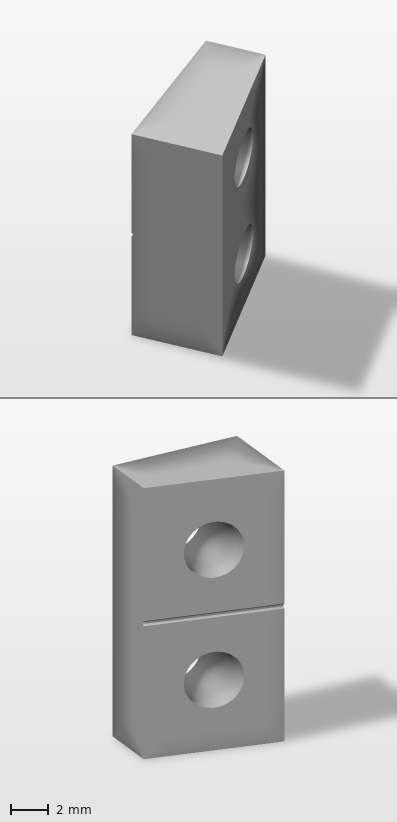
import cadquery as cq

base_width = 5.08
back_width = 3.33
depth = 7.62
height = 15.88

hole_diameter = 3.27
hole_spacing = 7.62

groove_depth = 0.1
groove_floor = groove_depth
groove_width = groove_floor + 2 * groove_depth

right_x = base_width / 2
front_left = (right_x - base_width, -depth / 2)
back_left = (right_x - back_width, depth / 2)


def make_block():
    """Upright block with a tapered plan, its left face sloping back."""
    return (
        cq.Workplane("XY")
        .polyline([front_left, (right_x, -depth / 2), (right_x, depth / 2), back_left])
        .close()
        .extrude(height / 2, both=True)
    )


def make_holes():
    """Two cylinders running through the block along X."""
    return (
        cq.Workplane("YZ")
        .pushPoints([(0, -hole_spacing / 2), (0, hole_spacing / 2)])
        .circle(hole_diameter / 2)
        .extrude(base_width, both=True)
    )


def make_groove():
    """Trapezoidal prism whose wide side lies on the sloping face."""
    slope = cq.Vector(back_left[0] - front_left[0], depth, 0)
    inward = cq.Vector(depth, -slope.x, 0)
    middle = ((front_left[0] + back_left[0]) / 2, 0, 0)
    section = cq.Plane(origin=middle, xDir=inward, normal=slope * -1)
    return (
        cq.Workplane(section)
        .polyline([
            (0, -groove_width / 2),
            (groove_depth, -groove_floor / 2),
            (groove_depth, groove_floor / 2),
            (0, groove_width / 2),
        ])
        .close()
        .extrude(depth, both=True)
    )


result = make_block().cut(make_holes()).cut(make_groove())